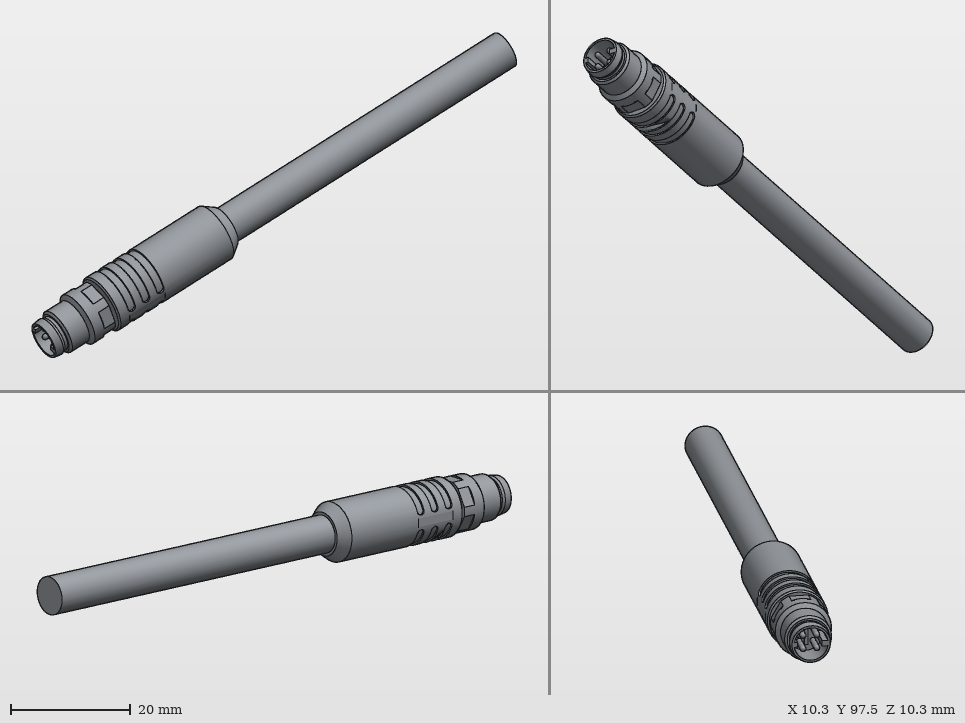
import cadquery as cq


total_length = 97.55
cable_diameter = 6.5

grip_diameter = 10.3
grip_start = 12.0
grip_front_chamfer = 0.3
grip_shoulder = 36.2
taper_end = 38.2
taper_end_diameter = 7.5

neck_diameter = 6.5
neck_start = 11.4

collar_diameter = 9.6
collar_start = 6.5
collar_cone_end = 7.1
hex_flat_distance = 4.5
hex_start = 9.2
hex_sides = 6

barrel_diameter = 8.0
barrel_start = 2.5
barrel_chamfer = 0.4
nose_diameter = 6.5
snap_diameter = 6.9
snap_ramp_end = 1.95
snap_ridge_end = 1.5
snap_ridge_start = 1.2

groove_count = 3
groove_pitch = 3.0
groove_width = 1.5
groove_depth = 0.3
groove_first_center = 14.9
groove_end_height = 1.3
flat_width = 1.5
flat_start = groove_first_center - groove_width / 2
flat_length = (groove_count - 1) * groove_pitch + groove_width

socket_diameter = 5.8
socket_depth = 4.9
pin_diameter = 1.0
pin_offset = 1.2
pin_recess = 0.7
key_width = 1.0
large_key_reach = 1.9
small_key_reach = 2.3
divider_width = 0.6
divider_reach = 1.7
divider_height = 0.5

grip_radius = grip_diameter / 2


def disc(diameter, start, end):
    """Cylinder on the Y axis between two Y positions."""
    plane = cq.Workplane("XZ", origin=(0, start, 0))
    return plane.circle(diameter / 2).extrude(start - end)


def make_body():
    """Revolve the stepped outer profile, drawn as (radius, Y) from the tip to the cable end."""
    nose_radius = nose_diameter / 2
    snap_radius = snap_diameter / 2
    barrel_radius = barrel_diameter / 2
    collar_radius = collar_diameter / 2
    profile = (
        cq.Workplane("XY")
        .lineTo(nose_radius, 0)
        .lineTo(snap_radius, snap_ridge_start)
        .lineTo(snap_radius, snap_ridge_end)
        .lineTo(nose_radius, snap_ramp_end)
        .lineTo(nose_radius, barrel_start)
        .lineTo(barrel_radius - barrel_chamfer, barrel_start)
        .lineTo(barrel_radius, barrel_start + barrel_chamfer)
        .lineTo(barrel_radius, collar_start)
        .lineTo(collar_radius, collar_cone_end)
        .lineTo(collar_radius, neck_start)
        .lineTo(neck_diameter / 2, neck_start)
        .lineTo(neck_diameter / 2, grip_start)
        .lineTo(grip_radius - grip_front_chamfer, grip_start)
        .lineTo(grip_radius, grip_start + grip_front_chamfer)
        .lineTo(grip_radius, grip_shoulder)
        .lineTo(taper_end_diameter / 2, taper_end)
        .lineTo(cable_diameter / 2, taper_end)
        .lineTo(cable_diameter / 2, total_length)
        .lineTo(0, total_length)
        .close()
    )
    return profile.revolve(360, (0, 0, 0), (0, 1, 0))


def cut_hex_flats(body):
    """Cut six wrench flats, one of them facing +Z, behind the collar."""
    length = neck_start - hex_start
    waste = cq.Workplane("XY").box(
        collar_diameter, length, collar_diameter, centered=(True, False, False)
    ).translate((0, hex_start, hex_flat_distance))
    for i in range(hex_sides):
        body = body.cut(waste.rotate((0, 0, 0), (0, 1, 0), i * 360 / hex_sides))
    return body


def cut_grip_grooves(body):
    """Cut grooves over the top and bottom of the grip, with round ends beside the flats."""
    end_radius = groove_width / 2
    arm_start = groove_end_height + end_radius
    for i in range(groove_count):
        center = groove_first_center + i * groove_pitch
        start = center - end_radius
        end = center + end_radius
        ring = disc(2 * grip_diameter, start, end).cut(
            disc(grip_diameter - 2 * groove_depth, start, end)
        )
        for side in (1, -1):
            outline = (
                cq.Workplane("YZ")
                .moveTo(start, side * grip_diameter)
                .lineTo(start, side * arm_start)
                .threePointArc((center, side * groove_end_height), (end, side * arm_start))
                .lineTo(end, side * grip_diameter)
                .close()
                .extrude(grip_diameter, both=True)
            )
            body = body.cut(ring.intersect(outline))
    return body


def cut_side_flats(body):
    """Cut a narrow flat along the groove area on the -X and +X sides of the grip."""
    flat_distance = (grip_radius**2 - (flat_width / 2) ** 2) ** 0.5
    for side in (1, -1):
        waste = cq.Workplane("XY").box(
            grip_radius, flat_length, grip_diameter, centered=(True, False, True)
        )
        waste_center = side * (flat_distance + grip_radius / 2)
        body = body.cut(waste.translate((waste_center, flat_start, 0)))
    return body


def make_key(reach, side):
    """Coding key along the socket wall, reaching in to the given distance from the axis."""
    root = (socket_diameter + nose_diameter) / 4
    height = root - reach
    key = cq.Workplane("XY").box(height, socket_depth, key_width, centered=(True, False, True))
    return key.translate((side * (reach + height / 2), 0, 0))


def make_pin(x, z):
    """Contact pin standing on the socket floor, with a domed tip."""
    pin_radius = pin_diameter / 2
    dome_center = pin_recess + pin_radius
    dome = cq.Workplane("XY").sphere(pin_radius).translate((0, dome_center, 0))
    pin = disc(pin_diameter, dome_center, socket_depth).union(dome)
    return pin.translate((x, 0, z))


def make_divider():
    """T-shaped rib on the socket floor: a bar between the pin columns with an arm toward -X."""
    start = socket_depth - divider_height
    bar = cq.Workplane("XY").box(
        divider_width, divider_height, 2 * divider_reach, centered=(True, False, True)
    )
    arm = cq.Workplane("XY").box(
        divider_reach, divider_height, divider_width, centered=(True, False, True)
    ).translate((-divider_reach / 2, 0, 0))
    return bar.union(arm).translate((0, start, 0))


def fit_socket(body):
    """Bore the socket and add its keys, divider and pins."""
    body = body.cut(disc(socket_diameter, 0, socket_depth))
    body = body.union(make_key(large_key_reach, 1))
    body = body.union(make_key(small_key_reach, -1))
    body = body.union(make_divider())
    for x in (pin_offset, -pin_offset):
        for z in (pin_offset, -pin_offset):
            body = body.union(make_pin(x, z))
    return body


result = make_body()
result = cut_hex_flats(result)
result = cut_grip_grooves(result)
result = cut_side_flats(result)
result = fit_socket(result)